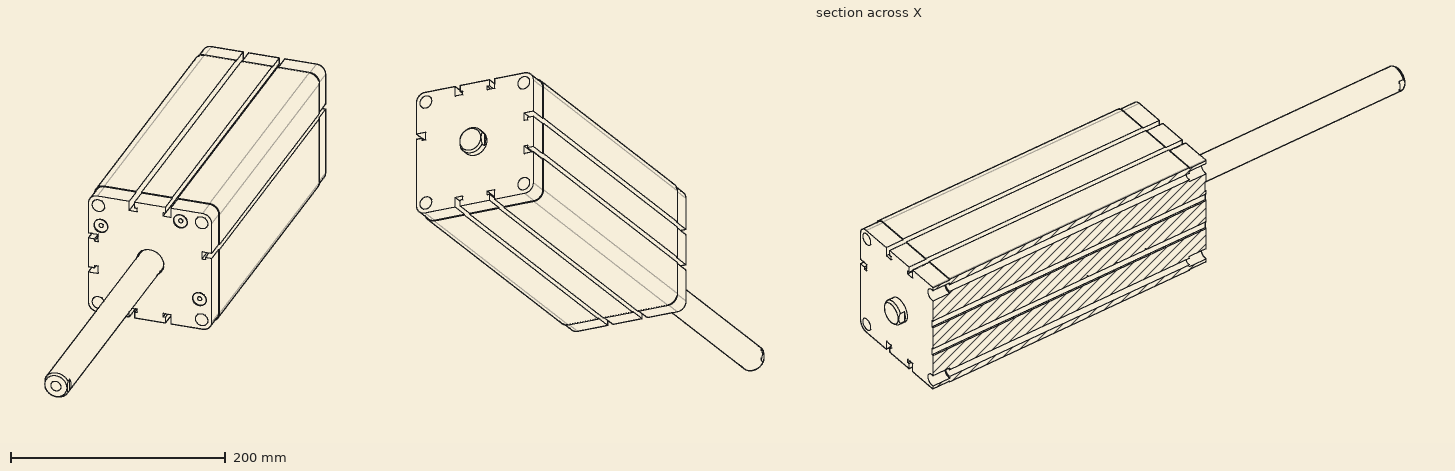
import cadquery as cq
import math

total_length = 586.5
stub_length = 9.5
cap_length = 19.5
body_length = 277.5
housing_length = body_length + 2 * cap_length
rod_length = total_length - stub_length - housing_length

rod_tip_y = -total_length / 2
front_face_y = rod_tip_y + rod_length
rear_face_y = front_face_y + housing_length

body_width = 124.0
cap_width = 122.0
body_corner_radius = 10.0
cap_corner_radius = body_corner_radius - (body_width - cap_width) / 2

rod_diameter = 25.0
flat_width = 22.0
flat_length = 7.0
chamfer_length = 2.5
chamfer_depth = 2.0
rod_hole_diameter = 10.0
rod_hole_depth = 29.5
drill_point_angle = 118

rod_bore_diameter = 27.0
rod_bore_depth = 3.0

slot_outer_edge = 20.5
slot_width = 5.0
slot_depth = 10.5
undercut_width = 7.5
undercut_height = 3.5

corner_hole_offset = 51.0
corner_hole_diameter = 8.0
counterbore_diameter = 12.5
counterbore_depth = cap_length

port_offset_long = 48.5
port_offset_short = 30.0
port_diameter = 13.5
port_depth = 1.0
plug_hole_diameter = 4.0
plug_hole_depth = 6.0


def cylinder(x, z, start_y, diameter, length):
    """Cylinder along +Y from start_y."""
    return cq.Workplane("XZ", origin=(x, start_y, z)).circle(diameter / 2).extrude(-length)


def rounded_bar(start_y, width, length, radius):
    """Square bar along +Y with rounded long edges."""
    bar = cq.Workplane("XZ", origin=(0, start_y, 0)).rect(width, width).extrude(-length)
    return bar.edges("|Y").fillet(radius)


def make_housing():
    housing = rounded_bar(front_face_y, cap_width, housing_length, cap_corner_radius)
    body = rounded_bar(front_face_y + cap_length, body_width, body_length, body_corner_radius)
    return housing.union(body)


def shaft(start_y, length, tip_direction):
    """Round shaft along +Y, chamfered and flattened on -X and +X at its tip (-1: -Y end, 1: +Y end)."""
    tip_y = start_y + length if tip_direction > 0 else start_y
    tip_face = ">Y" if tip_direction > 0 else "<Y"
    bar = cylinder(0, 0, start_y, rod_diameter, length)
    bar = bar.faces(tip_face).edges().chamfer(chamfer_length, chamfer_depth)
    for side in (-1, 1):
        cutter = cq.Workplane("XY").box(rod_diameter, flat_length, rod_diameter)
        cutter_x = side * (flat_width + rod_diameter) / 2
        cutter_y = tip_y - tip_direction * flat_length / 2
        bar = bar.cut(cutter.translate((cutter_x, cutter_y, 0)))
    return bar


def rod_hole():
    """Blind centre hole in the rod tip, ending in a drill point."""
    radius = rod_hole_diameter / 2
    point_length = radius / math.tan(math.radians(drill_point_angle / 2))
    bottom_y = rod_tip_y + rod_hole_depth
    half_section = [
        (0, rod_tip_y),
        (radius, rod_tip_y),
        (radius, bottom_y),
        (0, bottom_y + point_length),
    ]
    return cq.Workplane("XY").polyline(half_section).close().revolve(360, (0, 0, 0), (0, 1, 0))


def slot_cutter(angle, mirrored):
    """Slot in the +Z side with its undercut toward the centre, turned about Y."""
    side = 1 if mirrored else -1
    top = body_width
    floor = body_width / 2 - slot_depth
    ceiling = floor + undercut_height
    outer = side * slot_outer_edge
    mouth = side * (slot_outer_edge - slot_width)
    inner = side * (slot_outer_edge - undercut_width)
    outline = [
        (outer, top),
        (outer, floor),
        (inner, floor),
        (inner, ceiling),
        (mouth, ceiling),
        (mouth, top),
    ]
    cutter = cq.Workplane("XZ", origin=(0, front_face_y, 0)).polyline(outline).close()
    return cutter.extrude(-housing_length).rotate((0, 0, 0), (0, 1, 0), angle)


result = make_housing()

for slot_angle, slot_mirrored in (
    (0, False), (0, True), (90, False), (180, False), (180, True), (270, False), (270, True),
):
    result = result.cut(slot_cutter(slot_angle, slot_mirrored))

for x_sign in (-1, 1):
    for z_sign in (-1, 1):
        hole_x = x_sign * corner_hole_offset
        hole_z = z_sign * corner_hole_offset
        result = result.cut(cylinder(hole_x, hole_z, front_face_y, corner_hole_diameter, housing_length))
        for bore_y in (front_face_y, rear_face_y - counterbore_depth):
            result = result.cut(cylinder(hole_x, hole_z, bore_y, counterbore_diameter, counterbore_depth))

port = cylinder(-port_offset_long, port_offset_short, front_face_y, port_diameter, port_depth)
plug_hole_y = front_face_y + port_depth
port = port.union(
    cylinder(-port_offset_long, port_offset_short, plug_hole_y, plug_hole_diameter, plug_hole_depth)
)
for quarter in range(4):
    result = result.cut(port.rotate((0, 0, 0), (0, 1, 0), 90 * quarter))

result = result.cut(cylinder(0, 0, front_face_y, rod_bore_diameter, rod_bore_depth))
result = result.union(shaft(rod_tip_y, rod_length + rod_bore_depth, -1))
result = result.union(shaft(rear_face_y, stub_length, 1))
result = result.cut(rod_hole())